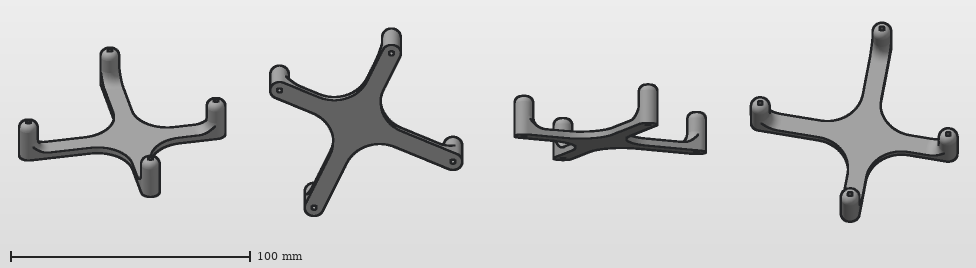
import cadquery as cq
import math

size_x = 65.0
size_y = 70.0
height = 17.0

post_radius = 4.0
hole_diameter = 2.0
plate_thickness = 3.0
near_post_spacing = 50.0
crotch_radius = 15.0
root_radius = 5.0
dome_radius = post_radius - hole_diameter / 2

post_x = size_x / 2 - post_radius
far_post_y = size_y / 2 - post_radius
near_post_y = near_post_spacing / 2
post_centres = [
    (-post_x, far_post_y),
    (post_x, near_post_y),
    (post_x, -near_post_y),
    (-post_x, -far_post_y),
]

diagonal_slope = (far_post_y + near_post_y) / (2 * post_x)
hub_x = -post_x + far_post_y / diagonal_slope


def arm_strip(centre, strip_height):
    """Straight bar, as wide as a post, from the hub to a post centre."""
    x, y = centre
    length = math.hypot(x - hub_x, y)
    angle = math.degrees(math.atan2(y, x - hub_x))
    bar = cq.Workplane("XY").box(length, 2 * post_radius, strip_height, centered=(False, True, False))
    return bar.rotate((0, 0, 0), (0, 0, 1), angle).translate((hub_x, 0, 0))


def make_plate():
    """Flat cross of four arms with rounded crotches."""
    plate = arm_strip(post_centres[0], plate_thickness)
    for centre in post_centres[1:]:
        plate = plate.union(arm_strip(centre, plate_thickness))
    crotch_reach = 2 * post_radius
    crotch_box = cq.selectors.BoxSelector(
        (hub_x - crotch_reach, -crotch_reach, 0),
        (hub_x + crotch_reach, crotch_reach, plate_thickness),
    )
    return plate.edges("|Z").edges(crotch_box).fillet(crotch_radius)


def make_post(centre):
    """Upright round post with a domed top."""
    post = cq.Workplane("XY").circle(post_radius).extrude(height)
    return post.faces(">Z").edges().fillet(dome_radius).translate((*centre, 0))


def make_root(centre):
    """Concave ring around a post, kept only where it stands on the arm."""
    root_top = plate_thickness + root_radius
    root_outer = post_radius + root_radius
    arc_offset = root_radius * math.sqrt(0.5)
    ring = (
        cq.Workplane("XZ")
        .lineTo(root_outer, 0)
        .lineTo(root_outer, plate_thickness)
        .threePointArc(
            (root_outer - arc_offset, root_top - arc_offset),
            (post_radius, root_top),
        )
        .lineTo(0, root_top)
        .close()
        .revolve(360, (0, 0, 0), (0, 1, 0))
    )
    return ring.translate((*centre, 0)).intersect(arm_strip(centre, root_top))


result = make_plate()
for post_centre in post_centres:
    result = result.union(make_root(post_centre))
    result = result.union(make_post(post_centre))

holes = cq.Workplane("XY").pushPoints(post_centres).circle(hole_diameter / 2).extrude(height)
result = result.cut(holes)